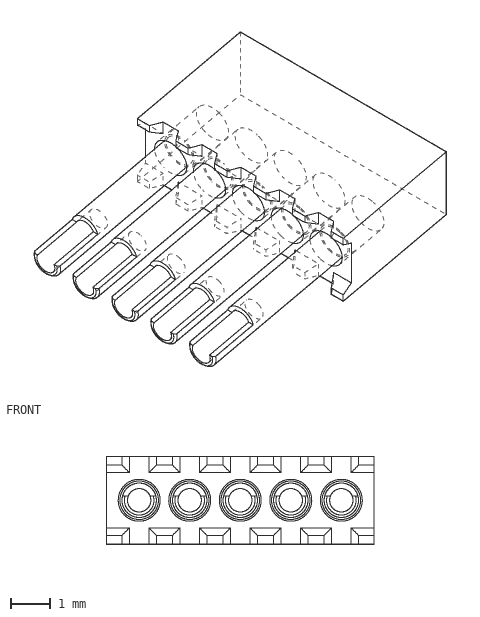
import cadquery as cq
import math


TOTAL_LENGTH = 8.64
HOUSING_WIDTH = 6.73
HOUSING_LENGTH = 4.05
HOUSING_HEIGHT = 2.21

PIN_COUNT = 5
PIN_PITCH = 1.27
PIN_XS = [(i - (PIN_COUNT - 1) / 2) * PIN_PITCH for i in range(PIN_COUNT)]

PIN_DIAMETER = 0.86
PIN_CHAMFER = 0.06
PIN_TIP_Y = HOUSING_LENGTH - TOTAL_LENGTH
BORE_DIAMETER = 0.59
CUP_LENGTH = 1.54
CUP_RIM_Z = 0.11
BORE_DEPTH = 2.07
DRILL_POINT_ANGLE = 118.0

TOOTH_DEPTH = 0.32
TOOTH_TIP_HEIGHT = 0.225
NOTCH_TIP_WIDTH = PIN_DIAMETER
DRAFT_ANGLE = 30.0
DRAFT_OFFSET = TOOTH_DEPTH * math.tan(math.radians(DRAFT_ANGLE))

COLLAR_DIAMETER = 1.05
COLLAR_LENGTH = 1.3
COLLAR_TAPER_LENGTH = 0.43
COLLAR_TAPER_STEP = 0.04
COLLAR_RECESS = 0.345
COLLAR_START_Y = TOOTH_DEPTH + COLLAR_RECESS
COLLAR_END_Y = COLLAR_START_Y + COLLAR_LENGTH


def cylinder_along_y(diameter, x, start_y, end_y):
    """Cylinder parallel to Y, centred on the pin row at the given x."""
    return cq.Workplane(
        cq.Solid.makeCylinder(diameter / 2, end_y - start_y, cq.Vector(x, start_y, 0), cq.Vector(0, 1, 0))
    )


def make_channel():
    """Full-width trapezoidal channel that separates the upper teeth from the lower teeth."""
    tip_half = HOUSING_HEIGHT / 2 - TOOTH_TIP_HEIGHT
    root_half = tip_half - DRAFT_OFFSET
    outline = [(0, -tip_half), (TOOTH_DEPTH, -root_half), (TOOTH_DEPTH, root_half), (0, tip_half)]
    return cq.Workplane("YZ").polyline(outline).close().extrude(HOUSING_WIDTH / 2, both=True)


def make_notch(x):
    """Full-height trapezoidal notch that parts two neighbouring teeth in front of a pin."""
    tip_half = NOTCH_TIP_WIDTH / 2
    root_half = tip_half - DRAFT_OFFSET
    outline = [
        (x - tip_half, 0),
        (x - root_half, TOOTH_DEPTH),
        (x + root_half, TOOTH_DEPTH),
        (x + tip_half, 0),
    ]
    return cq.Workplane("XY").polyline(outline).close().extrude(HOUSING_HEIGHT / 2, both=True)


def make_housing():
    """Block with toothed front edges and a row of blind holes."""
    housing = cq.Workplane("XY").box(
        HOUSING_WIDTH, HOUSING_LENGTH, HOUSING_HEIGHT, centered=(True, False, True)
    )
    housing = housing.cut(make_channel())
    for x in PIN_XS:
        housing = housing.cut(make_notch(x))
        housing = housing.cut(cylinder_along_y(COLLAR_DIAMETER, x, TOOTH_DEPTH, COLLAR_END_Y))
    return housing


def make_bore(x):
    """Blind bore with a conical drill point, entering from the free end of a pin."""
    radius = BORE_DIAMETER / 2
    point_length = radius / math.tan(math.radians(DRILL_POINT_ANGLE / 2))
    shoulder_y = PIN_TIP_Y + BORE_DEPTH
    outline = [
        (x, PIN_TIP_Y),
        (x + radius, PIN_TIP_Y),
        (x + radius, shoulder_y),
        (x, shoulder_y + point_length),
    ]
    return cq.Workplane("XY").polyline(outline).close().revolve(360, (x, 0), (x, 1))


def make_cup_opening(x):
    """Box that removes the top of a pin over the length of its solder cup."""
    return cq.Workplane("XY").box(
        PIN_DIAMETER, CUP_LENGTH, PIN_DIAMETER, centered=(True, False, False)
    ).translate((x, PIN_TIP_Y, CUP_RIM_Z))


def make_pin(x):
    """Round pin with a tapered collar at one end and an open solder cup at the other."""
    shank = cylinder_along_y(PIN_DIAMETER, x, PIN_TIP_Y, COLLAR_END_Y).faces("<Y").chamfer(PIN_CHAMFER)
    collar = cylinder_along_y(COLLAR_DIAMETER, x, COLLAR_START_Y, COLLAR_END_Y)
    collar = collar.faces("<Y").chamfer(COLLAR_TAPER_LENGTH, COLLAR_TAPER_STEP)
    return shank.union(collar).cut(make_bore(x)).cut(make_cup_opening(x))


housing = make_housing()
pins = [make_pin(x) for x in PIN_XS]

result = cq.Compound.makeCompound([housing.val(), *[pin.val() for pin in pins]])